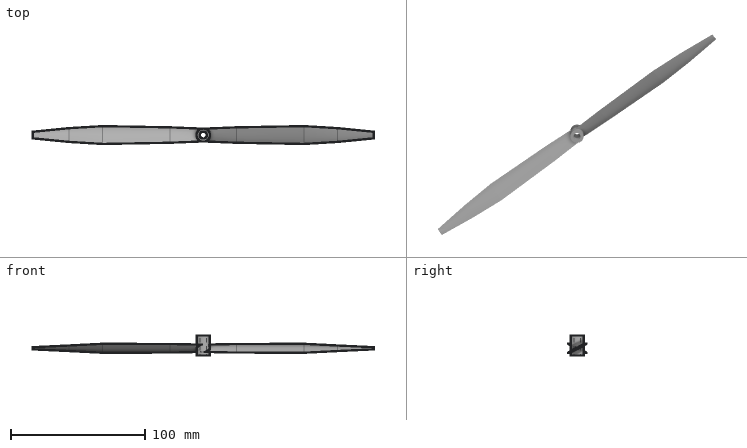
import cadquery as cq
import math

hub_diameter = 10.0
hub_height = 15.0
bore_diameter = 5.0

span = 254.0
blade_z = -2.0
blade_thickness = 0.8
blade_stations = [
    (0.0, 9.7, 5.5),
    (25.0, 11.7, 6.5),
    (75.0, 13.5, 6.9),
    (100.0, 10.5, 4.3),
    (span / 2, 5.0, 1.8),
]


def blade_section(station):
    """Closed wire of one section: two arcs over the chord, meeting in sharp edges."""
    distance, run, rise = station
    half_chord = math.hypot(run, rise) / 2
    plane = cq.Plane(
        origin=(distance, 0, blade_z),
        xDir=(0, run, rise),
        normal=(1, 0, 0),
    )
    return (
        cq.Workplane(plane)
        .moveTo(-half_chord, 0)
        .threePointArc((0, blade_thickness / 2), (half_chord, 0))
        .threePointArc((0, -blade_thickness / 2), (-half_chord, 0))
        .close()
        .val()
    )


def make_blade():
    """Blade along +X, with straight edges between neighbouring stations."""
    sections = [blade_section(station) for station in blade_stations]
    return cq.Workplane(cq.Solid.makeLoft(sections, True))


hub = cq.Workplane("XY").circle(hub_diameter / 2).extrude(hub_height / 2, both=True)
bore = cq.Workplane("XY").circle(bore_diameter / 2).extrude(hub_height / 2, both=True)

blade = make_blade()
opposite_blade = blade.rotate((0, 0, 0), (0, 0, 1), 180)
result = hub.union(blade).union(opposite_blade).cut(bore)